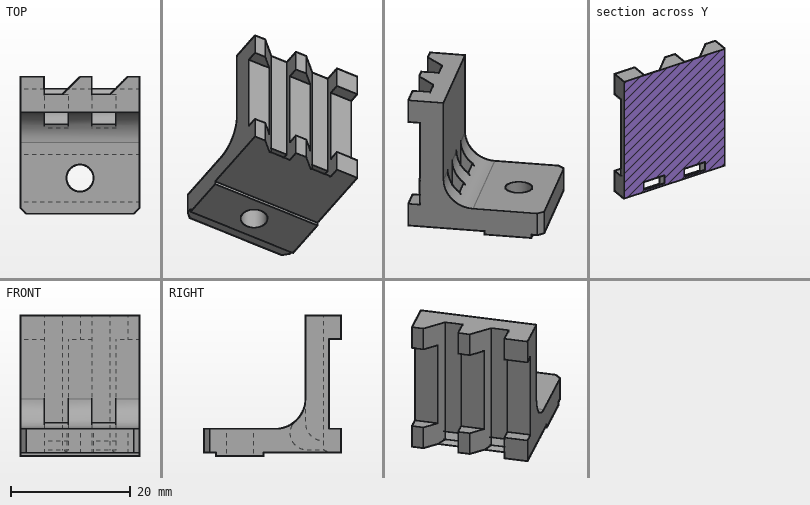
import cadquery as cq
import math

WIDTH = 20.0
LENGTH = 23.0
HEIGHT = 23.0
FOOT_THICKNESS = 4.0
WALL_FRONT = -6.0
INNER_FILLET = 5.0
CORNER_CHAMFER = 1.0

RECESS_DEPTH = 2.0
TOP_LIP_HEIGHT = 4.0

PAD_FRONT = -21.0
PAD_LENGTH = 8.0
PAD_CENTRE_Y = PAD_FRONT + PAD_LENGTH / 2
PAD_THICKNESS = 0.6
HOLE_DIAMETER = 4.5

CHANNEL_WIDTH = 4.0
CHANNEL_PITCH = 8.0
SIDE_MARGIN = 4.0
FIRST_CHANNEL_X = -WIDTH / 2 + SIDE_MARGIN
CHANNEL_COUNT = 2
NOTCH_DEPTH = 3.0
NOTCH_FLOOR_WIDTH = 3.0
SLOT_DEPTH = 2.0
PASSAGE_FRONT = WALL_FRONT - SLOT_DEPTH
PASSAGE_FLOOR = 0.5
POCKET_CENTRE_Y = -5.8
NOSE_RADIUS = 3.0
NOSE_CENTRE_Z = 5.0


def extrude_along_x(profile, start_x, width):
    """Close a (y, z) profile and extrude it towards +X from start_x."""
    return profile.close().extrude(width).translate((start_x, 0, 0))


def make_bracket():
    recess_top = HEIGHT - TOP_LIP_HEIGHT
    profile = (
        cq.Workplane("YZ")
        .moveTo(0, 0)
        .lineTo(0, FOOT_THICKNESS)
        .lineTo(-RECESS_DEPTH, FOOT_THICKNESS)
        .lineTo(-RECESS_DEPTH, recess_top)
        .lineTo(0, recess_top)
        .lineTo(0, HEIGHT)
        .lineTo(WALL_FRONT, HEIGHT)
        .lineTo(WALL_FRONT, FOOT_THICKNESS + INNER_FILLET)
        .radiusArc((WALL_FRONT - INNER_FILLET, FOOT_THICKNESS), INNER_FILLET)
        .lineTo(-LENGTH, FOOT_THICKNESS)
        .lineTo(-LENGTH, 0)
    )
    bracket = extrude_along_x(profile, -WIDTH / 2, WIDTH)
    return bracket.faces("<Y").edges("|Z").chamfer(CORNER_CHAMFER)


def make_pad():
    return (
        cq.Workplane("XY")
        .center(0, PAD_CENTRE_Y)
        .rect(WIDTH, PAD_LENGTH)
        .extrude(-PAD_THICKNESS)
    )


def make_screw_hole():
    return (
        cq.Workplane("XY", origin=(0, PAD_CENTRE_Y, -PAD_THICKNESS))
        .circle(HOLE_DIAMETER / 2)
        .extrude(PAD_THICKNESS + FOOT_THICKNESS)
    )


def make_notch(start_x):
    """Full-height notch with one 45 degree flank, leaving a ramp at its foot."""
    floor_end_x = start_x + NOTCH_FLOOR_WIDTH
    notch = (
        cq.Workplane("XY")
        .moveTo(start_x, 0)
        .lineTo(start_x, -NOTCH_DEPTH)
        .lineTo(floor_end_x, -NOTCH_DEPTH)
        .lineTo(floor_end_x + NOTCH_DEPTH, 0)
        .close()
        .extrude(HEIGHT)
    )
    ramp_profile = (
        cq.Workplane("YZ")
        .moveTo(-RECESS_DEPTH, 0)
        .lineTo(-NOTCH_DEPTH, 0)
        .lineTo(-NOTCH_DEPTH, PASSAGE_FLOOR)
    )
    return notch.cut(extrude_along_x(ramp_profile, start_x, CHANNEL_WIDTH))


def make_passage(start_x):
    """Slot in front of the wall that curves under its rounded nose to the notch."""
    slot_top = FOOT_THICKNESS + INNER_FILLET
    nose_bottom = NOSE_CENTRE_Z - NOSE_RADIUS
    lip_to_fillet_centre = PASSAGE_FRONT - (WALL_FRONT - INNER_FILLET)
    lip_z = slot_top - math.sqrt(INNER_FILLET**2 - lip_to_fillet_centre**2)
    lip_run = POCKET_CENTRE_Y - PASSAGE_FRONT
    lip_rise = lip_z - PASSAGE_FLOOR
    pocket_radius = (lip_run**2 + lip_rise**2) / (2 * lip_rise)
    pocket_tip = (POCKET_CENTRE_Y - pocket_radius, PASSAGE_FLOOR + pocket_radius)
    profile = (
        cq.Workplane("YZ")
        .moveTo(WALL_FRONT, slot_top)
        .lineTo(WALL_FRONT, NOSE_CENTRE_Z)
        .radiusArc((WALL_FRONT + NOSE_RADIUS, nose_bottom), -NOSE_RADIUS)
        .lineTo(-NOTCH_DEPTH, PASSAGE_FLOOR)
        .lineTo(POCKET_CENTRE_Y, PASSAGE_FLOOR)
        .threePointArc(pocket_tip, (PASSAGE_FRONT, lip_z))
        .lineTo(PASSAGE_FRONT, slot_top)
    )
    return extrude_along_x(profile, start_x, CHANNEL_WIDTH)


result = make_bracket().union(make_pad()).cut(make_screw_hole())
for channel in range(CHANNEL_COUNT):
    channel_x = FIRST_CHANNEL_X + channel * CHANNEL_PITCH
    result = result.cut(make_notch(channel_x)).cut(make_passage(channel_x))